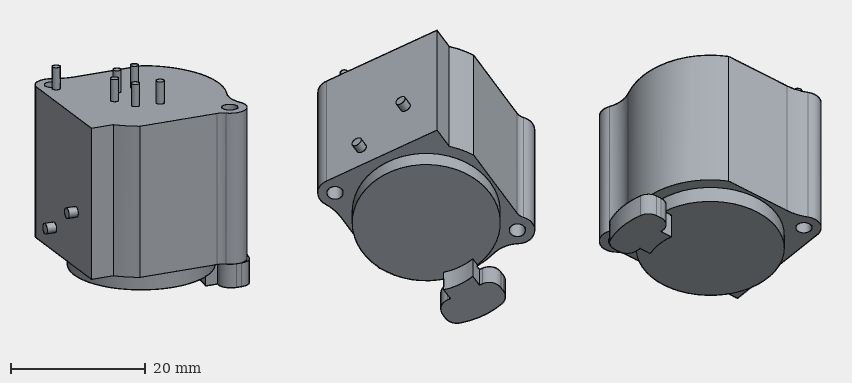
import cadquery as cq
import math

body_height = 24.0
top_pin_length = 3.5
flange_height = 2.7
latch_top = -3.1
latch_bottom = -6.88

body_radius = 12.8
side_x = 11.5
notch_x = 9.2
ear_offset = 9.9
ear_radius = 2.58
ear_hole_diameter = 2.4
front_y = -ear_offset - ear_radius
crown_blend = 5.0
right_blend = 2.0
left_blend = 8.0

flange_radius = 11.0
neck_width = 5.02
neck_inner_radius = 9.75
latch_width = 10.05
latch_inner_y = 11.35
latch_outer_y = 16.6
latch_crown_radius = 12.45
latch_corner_radius = 2.0

top_pin_diameter = 1.25
top_pin_places = [(-3.8, 0.7), (3.8, 1.35), (-3.2, -2.45), (3.2, -2.45), (0, -4.37), (-8.22, -10.08)]
side_pin_diameter = 1.6
side_pin_length = 1.5
side_pin_places = [(-3.8, 3.85), (3.8, 8.9)]


def along(start, end, distance):
    """Point at a given distance from start towards end."""
    share = distance / math.dist(start, end)
    return (start[0] + share * (end[0] - start[0]), start[1] + share * (end[1] - start[1]))


def arc_middle(center, start, end, radius):
    """Middle of the shorter arc between two points."""
    chord_middle = ((start[0] + end[0]) / 2, (start[1] + end[1]) / 2)
    return along(center, chord_middle, radius)


def on_body_circle(x):
    """Positive Y of the body circle at X."""
    return math.sqrt(body_radius**2 - x**2)


def side_blend_center(radius):
    """Centre of the concave arc tangent to the right side and the upper right ear."""
    x = side_x + radius
    y = ear_offset - math.sqrt((ear_radius + radius) ** 2 - (x - ear_offset) ** 2)
    return (x, y)


def crown_blend_center():
    """Centre of the concave arc tangent to the body circle and the upper right ear."""
    ear_distance = math.hypot(ear_offset, ear_offset)
    from_axis = body_radius + crown_blend
    from_ear = ear_radius + crown_blend
    spread = math.acos((from_axis**2 + ear_distance**2 - from_ear**2) / (2 * from_axis * ear_distance))
    angle = math.radians(45) + spread
    return (from_axis * math.cos(angle), from_axis * math.sin(angle))


def make_body():
    axis = (0, 0)
    upper_ear = (ear_offset, ear_offset)
    lower_ear = (-ear_offset, -ear_offset)
    diagonal = ear_radius / math.sqrt(2)

    right_center = side_blend_center(right_blend)
    right_ear_end = along(upper_ear, right_center, ear_radius)
    right_side_end = (side_x, right_center[1])
    right_mid = arc_middle(right_center, right_side_end, right_ear_end, right_blend)

    crown_center = crown_blend_center()
    crown_ear_end = along(upper_ear, crown_center, ear_radius)
    crown_body_end = along(axis, crown_center, body_radius)
    crown_mid = arc_middle(crown_center, crown_ear_end, crown_body_end, crown_blend)

    turned_center = side_blend_center(left_blend)
    left_center = (-turned_center[0], -turned_center[1])
    left_ear_end = along(lower_ear, left_center, ear_radius)
    left_side_end = (-side_x, left_center[1])
    left_mid = arc_middle(left_center, left_ear_end, left_side_end, left_blend)

    cut_x = (side_x + notch_x) / 2
    body = (
        cq.Workplane("XY")
        .moveTo(-ear_offset, front_y)
        .lineTo(notch_x, front_y)
        .lineTo(notch_x, -on_body_circle(notch_x))
        .threePointArc((cut_x, -on_body_circle(cut_x)), (side_x, -on_body_circle(side_x)))
        .lineTo(*right_side_end)
        .threePointArc(right_mid, right_ear_end)
        .threePointArc((ear_offset + diagonal, ear_offset + diagonal), crown_ear_end)
        .threePointArc(crown_mid, crown_body_end)
        .threePointArc((0, body_radius), (-side_x, on_body_circle(side_x)))
        .lineTo(*left_side_end)
        .threePointArc(left_mid, left_ear_end)
        .threePointArc((-ear_offset - diagonal, -ear_offset - diagonal), (-ear_offset, front_y))
        .close()
        .extrude(body_height)
    )
    holes = (
        cq.Workplane("XY")
        .pushPoints([upper_ear, lower_ear])
        .circle(ear_hole_diameter / 2)
        .extrude(body_height)
    )
    return body.cut(holes)


def make_flange():
    return cq.Workplane("XY").circle(flange_radius).extrude(-flange_height)


def make_neck():
    """Ring segment below the flange that carries the latch."""
    drop = -flange_height - latch_bottom
    ring = (
        cq.Workplane("XY", origin=(0, 0, latch_bottom))
        .circle(flange_radius)
        .circle(neck_inner_radius)
        .extrude(drop)
    )
    slab = (
        cq.Workplane("XY", origin=(0, 0, latch_bottom))
        .center(0, flange_radius / 2)
        .rect(neck_width, flange_radius)
        .extrude(drop)
    )
    return ring.intersect(slab)


def make_latch():
    """Rounded thumb tab with a crowned outer edge and a stem reaching the neck."""
    half_width = latch_width / 2
    crown_drop = latch_crown_radius - math.sqrt(latch_crown_radius**2 - half_width**2)
    shoulder_y = latch_outer_y - crown_drop
    thickness = latch_top - latch_bottom
    tab = (
        cq.Workplane("XY", origin=(0, 0, latch_bottom))
        .moveTo(-half_width, latch_inner_y)
        .lineTo(half_width, latch_inner_y)
        .lineTo(half_width, shoulder_y)
        .threePointArc((0, latch_outer_y), (-half_width, shoulder_y))
        .close()
        .extrude(thickness)
        .edges("|Z")
        .fillet(latch_corner_radius)
    )
    stem_inner_y = (neck_inner_radius + flange_radius) / 2
    stem_outer_y = (latch_inner_y + latch_outer_y) / 2
    stem = (
        cq.Workplane("XY", origin=(0, 0, latch_bottom))
        .center(0, (stem_inner_y + stem_outer_y) / 2)
        .rect(neck_width, stem_outer_y - stem_inner_y)
        .extrude(thickness)
    )
    return tab.union(stem)


def make_top_pins():
    return (
        cq.Workplane("XY", origin=(0, 0, body_height))
        .pushPoints(top_pin_places)
        .circle(top_pin_diameter / 2)
        .extrude(top_pin_length)
    )


def make_side_pins():
    return (
        cq.Workplane("XZ", origin=(0, front_y, 0))
        .pushPoints(side_pin_places)
        .circle(side_pin_diameter / 2)
        .extrude(side_pin_length)
    )


result = make_body()
for feature in (make_flange(), make_neck(), make_latch(), make_top_pins(), make_side_pins()):
    result = result.union(feature)